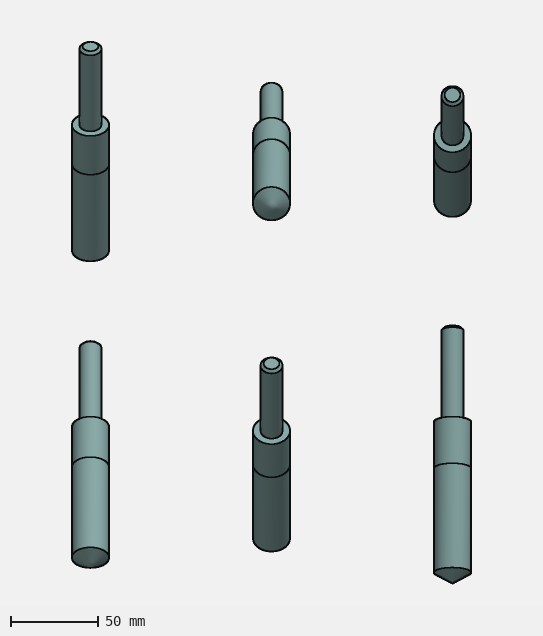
import cadquery as cq

total_length = 152.4
body_diameter = 21.3
shank_diameter = 12.6
shank_length = 56.1
upper_section_length = 27.7
tip_height = 6.5
shank_chamfer_width = 1.8
shank_chamfer_height = 1.7

body_radius = body_diameter / 2
shank_radius = shank_diameter / 2
shoulder_z = total_length - shank_length
joint_z = shoulder_z - upper_section_length


def make_holder():
    """Upper section with its chamfered shank, turned as one solid."""
    outline = [
        (0, joint_z),
        (body_radius, joint_z),
        (body_radius, shoulder_z),
        (shank_radius, shoulder_z),
        (shank_radius, total_length - shank_chamfer_height),
        (shank_radius - shank_chamfer_width, total_length),
        (0, total_length),
    ]
    return cq.Workplane("XZ").polyline(outline).close().revolve(360, (0, 0), (0, 1))


def make_pointed_body():
    """Lower cylinder ending in a conical point."""
    outline = [
        (0, 0),
        (body_radius, tip_height),
        (body_radius, joint_z),
        (0, joint_z),
    ]
    return cq.Workplane("XZ").polyline(outline).close().revolve(360, (0, 0), (0, 1))


holder = make_holder()
pointed_body = make_pointed_body()
result = cq.Compound.makeCompound([holder.val(), pointed_body.val()])